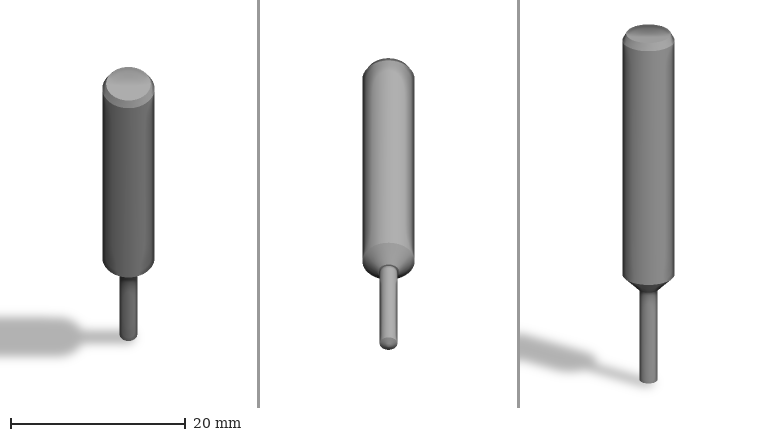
import cadquery as cq
import math

total_length = 44.0
shank_diameter = 6.0
drill_diameter = 2.02
drill_length = 12.0

point_angle = 130.0

chamfer_height = 0.85
chamfer_inset = 0.45

cone_half_angle = 45.0
shelf_width = 0.2

shank_radius = shank_diameter / 2
drill_radius = drill_diameter / 2
cone_end_radius = drill_radius + shelf_width
cone_height = (shank_radius - cone_end_radius) / math.tan(math.radians(cone_half_angle))
point_height = drill_radius / math.tan(math.radians(point_angle / 2))


def revolve_profile(points):
    """Turn a closed half profile of (radius, height) points around Z."""
    return cq.Workplane("XZ").polyline(points).close().revolve(360, (0, 0, 0), (0, 1, 0))


def make_shank():
    """Cylindrical shank with a chamfered top and a conical bottom."""
    return revolve_profile([
        (0, drill_length),
        (cone_end_radius, drill_length),
        (shank_radius, drill_length + cone_height),
        (shank_radius, total_length - chamfer_height),
        (shank_radius - chamfer_inset, total_length),
        (0, total_length),
    ])


def make_drill():
    """Thin round drill with a conical point, butted against the shank."""
    return revolve_profile([
        (0, 0),
        (drill_radius, point_height),
        (drill_radius, drill_length),
        (0, drill_length),
    ])


shank = make_shank()
drill = make_drill()

result = cq.Compound.makeCompound([shank.val(), drill.val()])